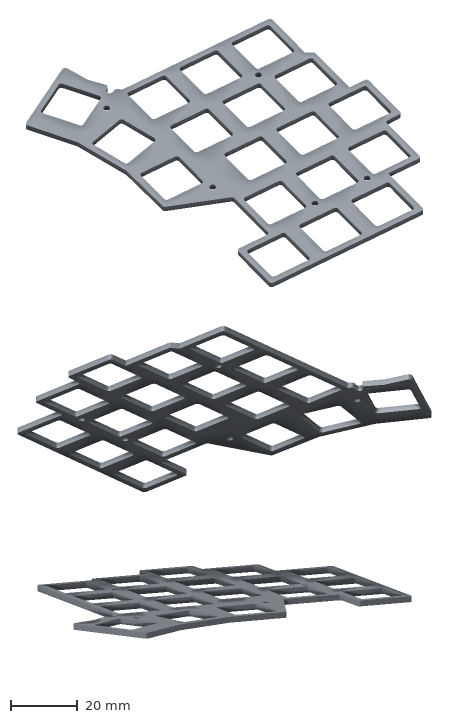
import cadquery as cq
import math

thickness = 1.8
columns = 5
rows = 3
column_span = 76.2
key_pitch = column_span / (columns - 1)
opening = 14.0
opening_radius = 0.9
margin = 2.0
screw_diameter = 2.0

first_column_x = 26.6
column_top_y = [77.5, 80.0, 86.5, 80.5, 68.5]
column_x = [first_column_x + i * key_pitch for i in range(columns)]

thumb_keys = [(57.4, 22.8, 0), (36.3, 20.0, 15), (14.1, 16.0, 30)]

side_screw_x = 90.9
side_screw_y = 52.0
screw_points = [
    (side_screw_x, side_screw_y),
    (side_screw_x, side_screw_y + key_pitch),
    (35.7, 69.6),
    (67.6, 30.8),
    (21.5, 24.0),
]

reach = opening / 2 + margin
top = [y + reach for y in column_top_y]
bottom = [y - (rows - 1) * key_pitch - reach for y in column_top_y]
left = [x - reach for x in column_x]
right = [x + reach for x in column_x]

outer_radius = 0.9
outline = [
    (left[0], top[0], outer_radius),
    (35.8, top[0], 0),
    (37.4, top[1], 0.3),
    (left[2], top[1], 0),
    (left[2], top[2], outer_radius),
    (right[2], top[2], outer_radius),
    (74.0, top[3], outer_radius),
    (right[3], top[3], outer_radius),
    (right[3], top[4], 0),
    (right[4], top[4], outer_radius),
    (right[4], bottom[4], outer_radius),
    (left[4], bottom[4], outer_radius),
    (left[4], bottom[3], outer_radius),
    (74.6, bottom[3], outer_radius),
    (66.4, 13.8, outer_radius),
    (47.1, 13.4, 0),
    (28.6, 8.4, 0),
    (13.3, -0.3, outer_radius),
    (-0.6, 23.6, 1.1),
    (8.2, 26.2, 0),
    (13.8, 29.9, 0.9),
    (15.3, 28.0, 0.6),
    (16.9, 28.0, 0.7),
    (16.9, 29.8, 0.3),
    (16.5, 30.0, 0.2),
    (16.5, 31.2, 0.3),
    (left[0], 32.2, 0.3),
]


def rounded_outline(corners):
    """Closed wire through the corners, each rounded by an arc tangent to both its sides."""
    path = None
    for i, (x, y, radius) in enumerate(corners):
        corner = cq.Vector(x, y)
        before = corners[i - 1]
        after = corners[(i + 1) % len(corners)]
        to_before = (cq.Vector(before[0], before[1]) - corner).normalized()
        to_after = (cq.Vector(after[0], after[1]) - corner).normalized()
        half_angle = to_before.getAngle(to_after) / 2
        setback = radius / math.tan(half_angle)
        start = corner + to_before * setback
        path = path.lineTo(start.x, start.y) if path else cq.Workplane("XY").moveTo(start.x, start.y)
        if radius > 0:
            bisector = (to_before + to_after).normalized()
            middle = corner + bisector * (radius / math.sin(half_angle) - radius)
            end = corner + to_after * setback
            path = path.threePointArc((middle.x, middle.y), (end.x, end.y))
    return path.close()


def key_cutter(x, y, angle):
    """Square block with rounded corners that cuts one switch opening."""
    block = cq.Workplane("XY").rect(opening, opening).extrude(thickness).edges("|Z").fillet(opening_radius)
    return block.rotate((0, 0, 0), (0, 0, 1), angle).translate((x, y, 0))


finger_keys = [
    (x, top_y - row * key_pitch, 0)
    for x, top_y in zip(column_x, column_top_y)
    for row in range(rows)
]

result = rounded_outline(outline).extrude(thickness)
for key in finger_keys + thumb_keys:
    result = result.cut(key_cutter(*key))

screw_holes = cq.Workplane("XY").pushPoints(screw_points).circle(screw_diameter / 2).extrude(thickness)
result = result.cut(screw_holes)